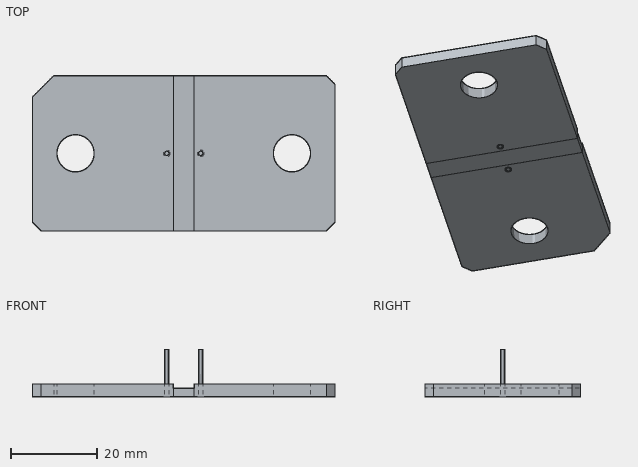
import cadquery as cq

length = 70.0
width = 36.0
plate_thickness = 3.0
small_chamfer = 2.0
large_chamfer = 5.0

strip_width = 4.8
strip_thickness = 2.0

hole_spacing = 50.05
hole_diameter = 8.55

pin_spacing = 7.85
pin_diameter = 1.0
pin_rise = 8.0
head_diameter = 1.55
head_thickness = 0.1

plate_length = (length - strip_width) / 2
plate_offset = (length + strip_width) / 4


def make_cylinder(x, diameter, height):
    """Make an upright cylinder on the X axis, starting at the plate underside (Z = 0)."""
    return cq.Workplane("XY").center(x, 0).circle(diameter / 2).extrude(height)


def make_plate(side, back_chamfer):
    """Make one flat plate; side is -1 for -X and +1 for +X."""
    outer_edge = ">X" if side > 0 else "<X"
    plate = cq.Workplane("XY").box(plate_length, width, plate_thickness, centered=(True, True, False))
    plate = plate.translate((side * plate_offset, 0, 0))
    plate = plate.faces(outer_edge).edges("|Z and <Y").chamfer(small_chamfer)
    plate = plate.faces(outer_edge).edges("|Z and >Y").chamfer(back_chamfer)
    mounting_hole = make_cylinder(side * hole_spacing / 2, hole_diameter, plate_thickness)
    pin_hole = make_cylinder(side * pin_spacing / 2, pin_diameter, plate_thickness)
    return plate.cut(mounting_hole).cut(pin_hole)


def make_strip():
    """Make the thin strip between the plates, flush with their undersides."""
    return cq.Workplane("XY").box(strip_width, width, strip_thickness, centered=(True, True, False))


def make_pin(side):
    """Make a pin whose flat head bears on the underside of its plate."""
    x = side * pin_spacing / 2
    shank = make_cylinder(x, pin_diameter, plate_thickness + pin_rise)
    head = make_cylinder(x, head_diameter, -head_thickness)
    return shank.union(head)


left_plate = make_plate(-1, large_chamfer)
right_plate = make_plate(1, small_chamfer)
strip = make_strip()
pins = [make_pin(side).val() for side in (-1, 1)]

result = cq.Compound.makeCompound([left_plate.val(), right_plate.val(), strip.val(), *pins])